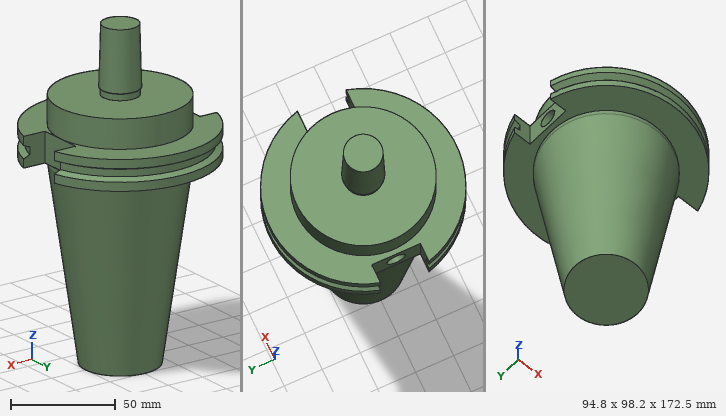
import cadquery as cq

taper_top = 101.7
flange_bottom = 104.7
flange_thickness = 16.2
flange_top = flange_bottom + flange_thickness
flange_middle = flange_bottom + flange_thickness / 2
collar_top = 136.4
arbor_bottom = 139.7
arbor_bevel = 0.5
arbor_top = 172.5

taper_small_radius = 20.2
collar_radius = 34.92
flange_radius = 49.1
groove_radius = 45.7
neck_radius = 9.7
arbor_large_radius = 10.3
arbor_tip_radius = 9.5

groove_mouth = 6.9
groove_floor = 3.8

slot_width = 25.5
left_floor_distance = 37.6
right_floor_distance = 35.0

hole_diameter = 9.7
hole_depth = 5.2


def make_turned_body():
    """Revolve the taper, flange, collar and arbor about Z."""
    profile = [
        (0, 0),
        (taper_small_radius, 0),
        (collar_radius, taper_top),
        (collar_radius, flange_bottom),
        (flange_radius, flange_bottom),
        (flange_radius, flange_middle - groove_mouth / 2),
        (groove_radius, flange_middle - groove_floor / 2),
        (groove_radius, flange_middle + groove_floor / 2),
        (flange_radius, flange_middle + groove_mouth / 2),
        (flange_radius, flange_top),
        (collar_radius, flange_top),
        (collar_radius, collar_top),
        (neck_radius, collar_top),
        (neck_radius, arbor_bottom),
        (arbor_large_radius, arbor_bottom + arbor_bevel),
        (arbor_tip_radius, arbor_top),
        (0, arbor_top),
    ]
    return cq.Workplane("XZ").polyline(profile).close().revolve(360, (0, 0, 0), (0, 1, 0))


def make_drive_slot(side, floor_distance):
    """Box that opens the flange outward from its slot floor; side is -1 or +1 along X."""
    length = flange_radius
    center_x = side * (floor_distance + length / 2)
    slot = cq.Workplane("XY").box(length, slot_width, flange_thickness)
    return slot.translate((center_x, 0, flange_middle))


def make_slot_hole():
    """Cylinder running from the -X slot floor toward the axis."""
    floor_plane = cq.Workplane("YZ", origin=(-left_floor_distance, 0, flange_middle))
    return floor_plane.circle(hole_diameter / 2).extrude(hole_depth)


result = (
    make_turned_body()
    .cut(make_drive_slot(-1, left_floor_distance))
    .cut(make_drive_slot(1, right_floor_distance))
    .cut(make_slot_hole())
)